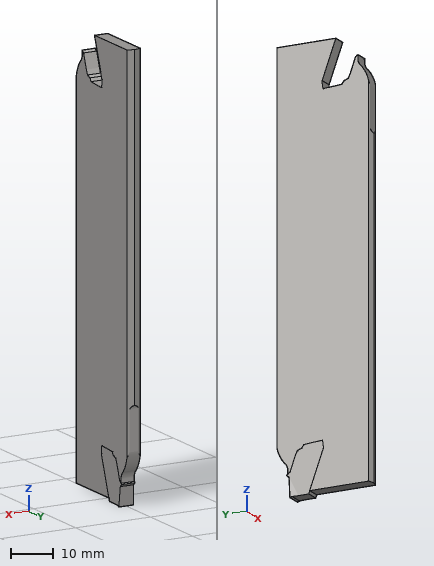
import cadquery as cq
import math

TOP_Z = 55.5
BLADE_LENGTH = 110.0
BLADE_WIDTH = 25.1
BLADE_THICKNESS = 3.5
V_DEPTH = 0.5
MID_Z = TOP_Z - BLADE_LENGTH / 2
RIDGE_Y = -BLADE_WIDTH / 2

JAW_ANGLE = 20.0
JAW_TOP = (-3.4, TOP_Z)
JAW_DROP = 9.9
JAW_FOOT = (
    JAW_TOP[0] + JAW_DROP * math.tan(math.radians(JAW_ANGLE)),
    TOP_Z - JAW_DROP,
)
JAW_HEEL = (0.1, 44.4)
SEAT_START = (-0.1, 43.6)
SEAT_END = (-5.0, 44.0)
LEDGE_START = (-5.5, 44.7)
LEDGE_END = (-6.7, 45.2)
TOOTH_ROOT = (-7.2, 46.3)
TOOTH_SHOULDER = (-8.5, 50.1)
TOOTH_TIP = (-9.2, 50.6)
POCKET = [
    JAW_TOP,
    JAW_FOOT,
    JAW_HEEL,
    SEAT_START,
    SEAT_END,
    LEDGE_START,
    LEDGE_END,
    TOOTH_ROOT,
    TOOTH_SHOULDER,
    TOOTH_TIP,
]

NOSE_FLAT_END = (-9.2, 49.7)
CONCAVE_MID = (-9.4, 48.6)
CONCAVE_END = (-10.1, 47.7)
CONVEX_MID = (-11.5, 45.4)
RELIEF_DEPTH = 0.3
RELIEF_Y = RIDGE_Y + RELIEF_DEPTH
RELIEF_TOP_Z = 42.6
RELIEF_BOTTOM_Z = 32.3
RUNOUT_RADIUS = 1.8

CUT_MARGIN = 2.2

INSERT_WIDTH = 4.0
HEEL_POINT = (9.5, -49.8)
FRONT_TOP = (8.9, -50.5)
CUTTING_EDGE = (8.5, -55.5)
RAKE_START = (8.0, -55.3)
RAKE_END = (3.7, -55.3)
FLARE_START = (8.8, -50.5)
FLARE_END = (6.9, -54.3)


def half_turn(point):
    """Turn a (Y, Z) point half a turn about the blade centre."""
    return (-point[0], 2 * MID_Z - point[1])


def plate(outline, thickness):
    """Extrude a closed YZ outline equally to both sides of X = 0."""
    return outline.close().extrude(thickness / 2, both=True)


def end_cutter():
    """Material to remove at the upper end: outside the jaw, pocket, nose and relief flat."""
    outside_y = RIDGE_Y - CUT_MARGIN
    above_z = TOP_Z + CUT_MARGIN
    runout_drop = math.sqrt(RUNOUT_RADIUS**2 - (RUNOUT_RADIUS - RELIEF_DEPTH) ** 2)
    half_angle = math.acos(1 - RELIEF_DEPTH / RUNOUT_RADIUS) / 2
    runout_mid = (
        RELIEF_Y - RUNOUT_RADIUS * (1 - math.cos(half_angle)),
        RELIEF_BOTTOM_Z - RUNOUT_RADIUS * math.sin(half_angle),
    )
    outline = (
        cq.Workplane("YZ")
        .moveTo(JAW_TOP[0], above_z)
        .polyline(POCKET + [NOSE_FLAT_END], includeCurrent=True)
        .threePointArc(CONCAVE_MID, CONCAVE_END)
        .threePointArc(CONVEX_MID, (RELIEF_Y, RELIEF_TOP_Z))
        .lineTo(RELIEF_Y, RELIEF_BOTTOM_Z)
        .threePointArc(runout_mid, (RIDGE_Y, RELIEF_BOTTOM_Z - runout_drop))
        .lineTo(outside_y, RELIEF_BOTTOM_Z - runout_drop)
        .lineTo(outside_y, above_z)
    )
    return plate(outline, BLADE_THICKNESS + 2 * CUT_MARGIN)


def make_blade():
    """Bar with ridged long edges, cut alike at both ends."""
    half_x = BLADE_THICKNESS / 2
    half_y = BLADE_WIDTH / 2
    shoulder_y = half_y - V_DEPTH
    bar = (
        cq.Workplane("XY", origin=(0, 0, TOP_Z - BLADE_LENGTH))
        .polyline([
            (0, half_y),
            (half_x, shoulder_y),
            (half_x, -shoulder_y),
            (0, -half_y),
            (-half_x, -shoulder_y),
            (-half_x, shoulder_y),
        ])
        .close()
        .extrude(BLADE_LENGTH)
    )
    upper = end_cutter()
    lower = upper.rotate((0, 0, MID_Z), (1, 0, MID_Z), 180)
    return bar.cut(upper).cut(lower)


def insert_outline():
    """Outline that fills the lower pocket and sticks out at the cutting edge."""
    seated = [half_turn(point) for point in POCKET]
    exposed = [HEEL_POINT, FRONT_TOP, CUTTING_EDGE, RAKE_START, RAKE_END]
    return cq.Workplane("YZ").polyline(seated + exposed)


def flare_wedge():
    """Prism along the flare line, widening from the blade thickness to the cutting width."""
    run_y = FLARE_END[0] - FLARE_START[0]
    run_z = FLARE_END[1] - FLARE_START[1]
    run = math.hypot(run_y, run_z)
    section = cq.Plane(
        origin=(0, FLARE_START[0] - run_y, FLARE_START[1] - run_z),
        xDir=(-1, 0, 0),
        normal=(0, run_y, run_z),
    )
    edge_y = CUTTING_EDGE[0] - FLARE_START[0]
    edge_z = CUTTING_EDGE[1] - FLARE_START[1]
    reach = (run_y * edge_z - run_z * edge_y) / run
    return (
        cq.Workplane(section)
        .polyline([
            (-BLADE_THICKNESS / 2, 0),
            (BLADE_THICKNESS / 2, 0),
            (INSERT_WIDTH / 2, reach),
            (-INSERT_WIDTH / 2, reach),
        ])
        .close()
        .extrude(3 * run)
    )


def make_insert():
    """Seated body as thick as the blade, with a head that flares to the cutting width."""
    body = plate(insert_outline(), BLADE_THICKNESS)
    head = plate(insert_outline(), INSERT_WIDTH).intersect(flare_wedge())
    return body.union(head)


blade = make_blade()
insert = make_insert()

result = cq.Compound.makeCompound([blade.solids().val(), insert.solids().val()])